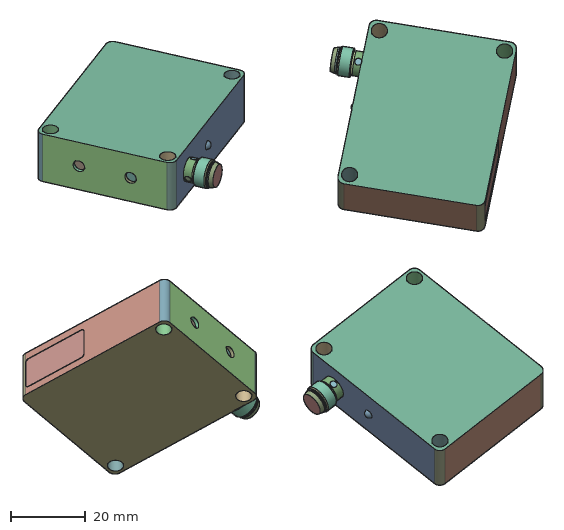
import cadquery as cq
import math

LENGTH_X = 40.0
LENGTH_Y = 50.0
HEIGHT = 15.0
CORNER_RADIUS = 2.0
MID_HEIGHT = HEIGHT / 2

MOUNT_HOLE_DIAMETER = 4.3
MOUNT_HOLE_INSET = 3.0

SIDE_HOLE_DIAMETER = 3.3
SIDE_HOLE_DEPTH = 1.0
SIDE_HOLE_SPACING = 15.0

WINDOW_LENGTH = 20.0
WINDOW_HEIGHT = 10.0
WINDOW_CORNER_RADIUS = 1.0
WINDOW_DEPTH = 0.1

LIGHT_RADIUS = 1.3
LIGHT_PROJECTION = 1.0
LIGHT_Y = 23.0

CONNECTOR_Y = 10.0
CONNECTOR_LENGTH = 8.5
BARREL_RADIUS = 3.4
BARREL_LENGTH = 2.45
NECK_RADIUS = 3.15
COLLAR_START = 3.0
COLLAR_END = 6.6
COLLAR_RADIUS = 4.0
COLLAR_REAR_CHAMFER = 0.2
COLLAR_FRONT_TAPER_LENGTH = 0.4
COLLAR_FRONT_RADIUS = 3.8
GROOVE_RADIUS = 3.4
RIM_START = 6.9
RIM_RADIUS = 3.6
RIM_TAPER_START = 7.3
TIP_RADIUS = 3.2

SPANNER_HOLE_DIAMETER = 1.9
SPANNER_HOLE_X = 1.25
SPANNER_FLOOR_RADIUS = 3.2
SPANNER_OFFSET = 1.0
SPANNER_TILT = math.degrees(math.asin(SPANNER_OFFSET / BARREL_RADIUS))
SPANNER_ANGLES = (90 - SPANNER_TILT, 180 + SPANNER_TILT)


def make_housing():
    block = cq.Workplane("XY").box(LENGTH_X, LENGTH_Y, HEIGHT, centered=False)
    return block.edges("|Z").fillet(CORNER_RADIUS)


def make_mount_holes():
    near = MOUNT_HOLE_INSET
    far_x = LENGTH_X - MOUNT_HOLE_INSET
    far_y = LENGTH_Y - MOUNT_HOLE_INSET
    centers = [(near, near), (far_x, near), (far_x, far_y)]
    return cq.Workplane("XY").pushPoints(centers).circle(MOUNT_HOLE_DIAMETER / 2).extrude(HEIGHT)


def make_side_holes():
    centers = [(LENGTH_X / 2 + side * SIDE_HOLE_SPACING / 2, MID_HEIGHT) for side in (-1, 1)]
    return cq.Workplane("XZ").pushPoints(centers).circle(SIDE_HOLE_DIAMETER / 2).extrude(-SIDE_HOLE_DEPTH)


def make_window_recess():
    center_y = LENGTH_Y - CORNER_RADIUS - WINDOW_LENGTH / 2
    recess = (
        cq.Workplane("YZ")
        .center(center_y, MID_HEIGHT)
        .rect(WINDOW_LENGTH, WINDOW_HEIGHT)
        .extrude(WINDOW_DEPTH)
    )
    return recess.edges("|X").fillet(WINDOW_CORNER_RADIUS)


def make_light():
    sphere_center_x = LIGHT_PROJECTION - LIGHT_RADIUS
    base_radius = math.sqrt(LIGHT_RADIUS**2 - sphere_center_x**2)
    half_angle = math.acos(-sphere_center_x / LIGHT_RADIUS) / 2
    arc_middle = (
        sphere_center_x + LIGHT_RADIUS * math.cos(half_angle),
        LIGHT_RADIUS * math.sin(half_angle),
    )
    cap = (
        cq.Workplane("XY")
        .lineTo(0, base_radius)
        .threePointArc(arc_middle, (LIGHT_PROJECTION, 0))
        .close()
        .revolve(360, (0, 0, 0), (1, 0, 0))
    )
    return cap.translate((LENGTH_X, LIGHT_Y, MID_HEIGHT))


def make_spanner_hole(angle):
    hole = (
        cq.Workplane("XY", origin=(SPANNER_HOLE_X, 0, SPANNER_FLOOR_RADIUS))
        .circle(SPANNER_HOLE_DIAMETER / 2)
        .extrude(COLLAR_RADIUS - SPANNER_FLOOR_RADIUS)
    )
    return hole.rotate((0, 0, 0), (1, 0, 0), angle - 90)


def make_connector():
    profile = [
        (0, 0),
        (0, BARREL_RADIUS),
        (BARREL_LENGTH, BARREL_RADIUS),
        (COLLAR_START, NECK_RADIUS),
        (COLLAR_START, COLLAR_RADIUS - COLLAR_REAR_CHAMFER),
        (COLLAR_START + COLLAR_REAR_CHAMFER, COLLAR_RADIUS),
        (COLLAR_END - COLLAR_FRONT_TAPER_LENGTH, COLLAR_RADIUS),
        (COLLAR_END, COLLAR_FRONT_RADIUS),
        (COLLAR_END, GROOVE_RADIUS),
        (RIM_START, GROOVE_RADIUS),
        (RIM_START, RIM_RADIUS),
        (RIM_TAPER_START, RIM_RADIUS),
        (CONNECTOR_LENGTH, TIP_RADIUS),
        (CONNECTOR_LENGTH, 0),
    ]
    connector = cq.Workplane("XY").polyline(profile).close().revolve(360, (0, 0, 0), (1, 0, 0))
    for angle in SPANNER_ANGLES:
        connector = connector.cut(make_spanner_hole(angle))
    return connector.translate((LENGTH_X, CONNECTOR_Y, MID_HEIGHT))


housing = make_housing()
housing = housing.cut(make_mount_holes())
housing = housing.cut(make_side_holes())
housing = housing.cut(make_window_recess())
result = housing.union(make_connector()).union(make_light())